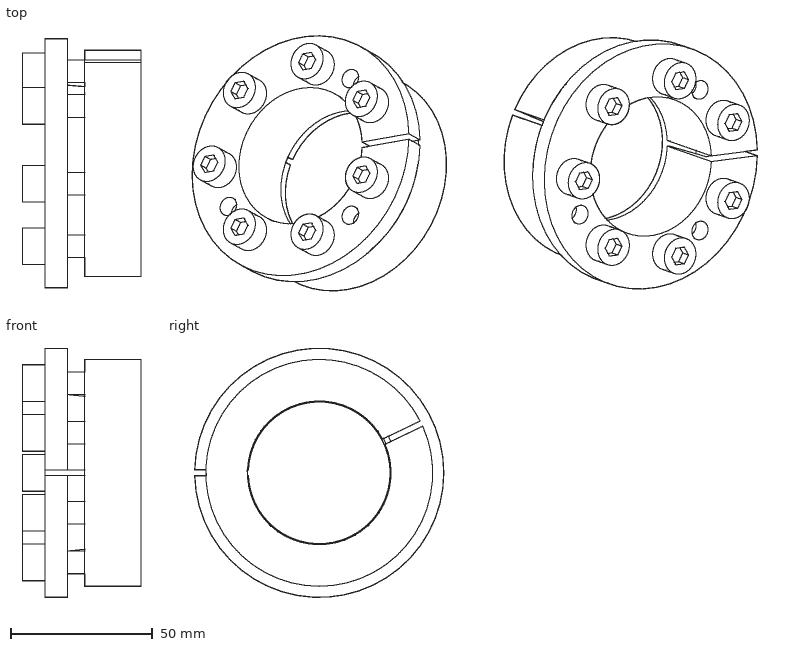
import cadquery as cq
import math


FLANGE_RADIUS = 44.0
FLANGE_THICKNESS = 8.0
RING_GAP = 6.0
OUTER_RING_LENGTH = 20.0
OUTER_RING_RADIUS = 40.0
BORE_RADIUS = 25.0
SLIT_WIDTH = 2.0

TAPER_ANGLE = 5.0
TAPER_RADIUS = 27.1
SLEEVE_SETBACK = 4.0

SCREW_COUNT = 7
PITCH_RADIUS = 32.5
HEAD_DIAMETER = 13.0
HEAD_HEIGHT = 8.0
SHANK_DIAMETER = 8.0
SHANK_LENGTH = 25.0
SOCKET_FLATS = 6.0
SOCKET_DEPTH = 4.0
JACK_HOLE_DIAMETER = 6.7

outer_ring_front = FLANGE_THICKNESS + RING_GAP
outer_ring_back = outer_ring_front + OUTER_RING_LENGTH
sleeve_back = outer_ring_back - SLEEVE_SETBACK

screw_step = 360 / SCREW_COUNT
screw_angles = [screw_step * (i + 0.5) for i in range(SCREW_COUNT)]
jack_hole_angles = [screw_step * i for i in (1, 4, 6)]
outer_slit_angle = screw_step * 3


def taper_radius(x):
    """Radius of the shared taper at position x."""
    return TAPER_RADIUS - (x - outer_ring_front) * math.tan(math.radians(TAPER_ANGLE))


def disc(x, radius, length):
    """Cylinder about the X axis running from x toward +X."""
    return cq.Workplane("YZ", origin=(x, 0, 0)).circle(radius).extrude(length)


def turned(profile):
    """Solid of revolution about the X axis from (x, radius) points, started on the -Y side."""
    points = [(x, -radius) for x, radius in profile]
    return cq.Workplane("XY").polyline(points).close().revolve(360, (0, 0, 0), (1, 0, 0))


def place(body, angle):
    """Turn a body built on the -Y side to its angle about the X axis."""
    return body.rotate((0, 0, 0), (1, 0, 0), -angle)


def at_pitch(body, angle):
    """Move a body on the X axis out to the pitch circle."""
    y = -PITCH_RADIUS * math.cos(math.radians(angle))
    z = PITCH_RADIUS * math.sin(math.radians(angle))
    return body.translate((0, y, z))


def slit():
    """Radial cutter that splits the -Y side of a ring along its full length."""
    cutter = cq.Workplane("XY").box(
        outer_ring_back, FLANGE_RADIUS, SLIT_WIDTH, centered=(False, False, True)
    )
    return cutter.translate((0, -FLANGE_RADIUS, 0))


def shank():
    """Screw shank on the X axis; also the cutter for its matching holes."""
    return disc(0, SHANK_DIAMETER / 2, SHANK_LENGTH)


def make_inner_ring():
    """Split flanged sleeve with a tapered outside."""
    ring = turned([
        (0, BORE_RADIUS),
        (0, FLANGE_RADIUS),
        (FLANGE_THICKNESS, FLANGE_RADIUS),
        (FLANGE_THICKNESS, taper_radius(FLANGE_THICKNESS)),
        (sleeve_back, taper_radius(sleeve_back)),
        (sleeve_back, BORE_RADIUS),
    ])
    for angle in screw_angles:
        ring = ring.cut(at_pitch(shank(), angle))
    for angle in jack_hole_angles:
        jack_hole = disc(0, JACK_HOLE_DIAMETER / 2, FLANGE_THICKNESS)
        ring = ring.cut(at_pitch(jack_hole, angle))
    return ring.cut(slit())


def make_outer_ring():
    """Split ring with a tapered bore and blind holes for the screws."""
    ring = turned([
        (outer_ring_front, taper_radius(outer_ring_front)),
        (outer_ring_front, OUTER_RING_RADIUS),
        (outer_ring_back, OUTER_RING_RADIUS),
        (outer_ring_back, taper_radius(outer_ring_back)),
    ])
    ring = place(ring.cut(slit()), outer_slit_angle)
    for angle in screw_angles:
        ring = ring.cut(at_pitch(shank(), angle))
    return ring


def make_screw(angle):
    """Socket head cap screw with its head seated on the flange."""
    head = disc(-HEAD_HEIGHT, HEAD_DIAMETER / 2, HEAD_HEIGHT)
    socket_corners = SOCKET_FLATS / math.cos(math.pi / 6)
    socket = (
        cq.Workplane("YZ", origin=(-HEAD_HEIGHT, 0, 0))
        .polygon(6, socket_corners)
        .extrude(SOCKET_DEPTH)
    )
    return at_pitch(head.union(shank()).cut(socket), angle)


inner_ring = make_inner_ring()
outer_ring = make_outer_ring()
screws = [make_screw(angle) for angle in screw_angles]

result = cq.Compound.makeCompound(
    [inner_ring.val(), outer_ring.val(), *[screw.val() for screw in screws]]
)